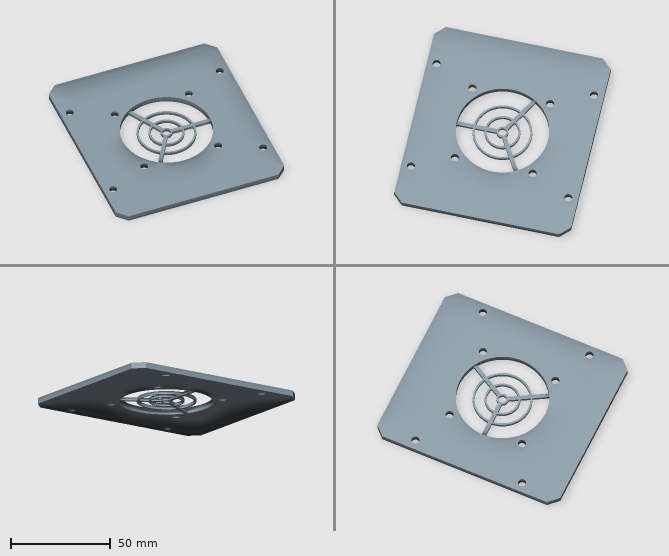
import cadquery as cq

plate_length = 101.0
plate_width = 91.0
plate_thickness = 3.0
corner_chamfer = 5.0

hole_diameter = 4.0
edge_hole_spacing_x = 59.0
edge_hole_spacing_y = 81.0
fan_hole_spacing = 40.0

opening_diameter = 47.0
guard_thickness = 1.5
guard_bottom = 0.0
spoke_width = 2.0
spoke_angles = (90, 210, 330)
spoke_overlap = 0.5
ring_width = 1.0
ring_outer_diameters = (18.0, 30.0)
hub_diameter = 6.0
hub_hole_diameter = hole_diameter


def make_plate():
    """Rectangular plate with chamfered corners, mounting holes and the fan opening."""
    plate = (
        cq.Workplane("XY")
        .rect(plate_length, plate_width)
        .extrude(plate_thickness)
        .edges("|Z")
        .chamfer(corner_chamfer)
    )
    hole_patterns = (
        (edge_hole_spacing_x, edge_hole_spacing_y),
        (fan_hole_spacing, fan_hole_spacing),
    )
    for spacing_x, spacing_y in hole_patterns:
        holes = (
            cq.Workplane("XY")
            .rect(spacing_x, spacing_y, forConstruction=True)
            .vertices()
            .circle(hole_diameter / 2)
            .extrude(plate_thickness)
        )
        plate = plate.cut(holes)
    opening = cq.Workplane("XY").circle(opening_diameter / 2).extrude(plate_thickness)
    return plate.cut(opening)


def make_guard():
    """Concentric rings and a hub joined by spokes that run into the opening wall."""
    base = cq.Workplane("XY").workplane(offset=guard_bottom)
    guard = base.circle(hub_diameter / 2).extrude(guard_thickness)
    for diameter in ring_outer_diameters:
        outer_radius = diameter / 2
        ring = base.circle(outer_radius).circle(outer_radius - ring_width).extrude(guard_thickness)
        guard = guard.union(ring)
    spoke_length = opening_diameter / 2 + spoke_overlap
    for angle in spoke_angles:
        spoke = (
            base.center(spoke_length / 2, 0)
            .rect(spoke_length, spoke_width)
            .extrude(guard_thickness)
            .rotate((0, 0, 0), (0, 0, 1), angle)
        )
        guard = guard.union(spoke)
    hub_hole = base.circle(hub_hole_diameter / 2).extrude(guard_thickness)
    return guard.cut(hub_hole)


result = make_plate().union(make_guard())